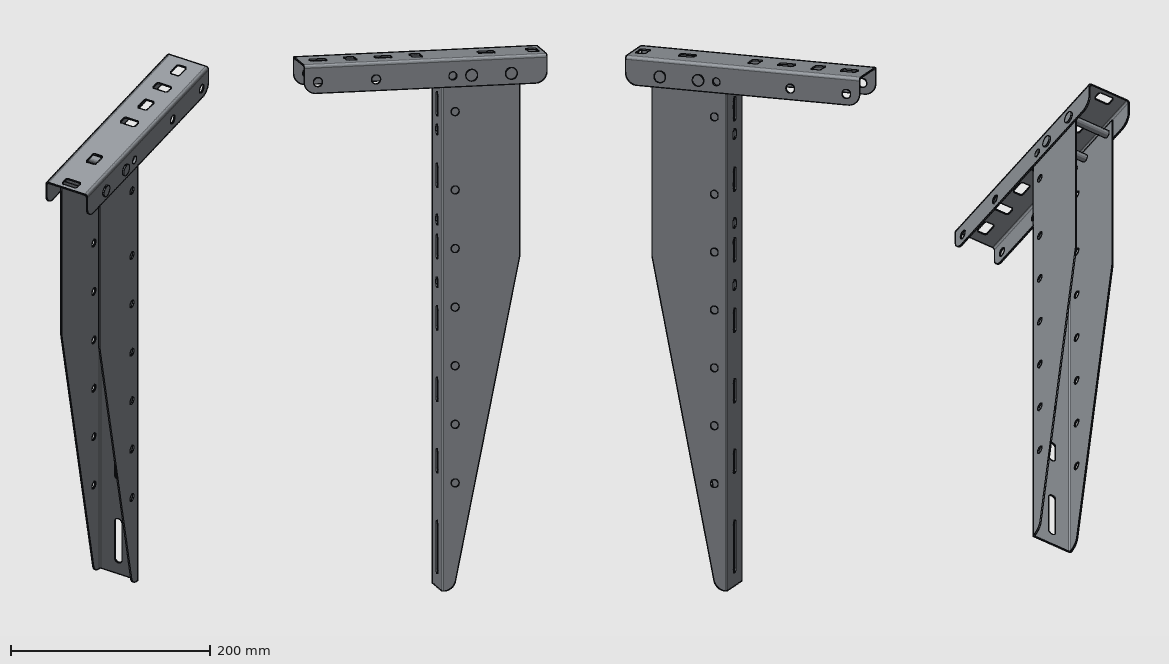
import cadquery as cq

total_height = 545.0
sheet = 1.45
cut_depth = 3 * sheet

bracket_length = 250.0
bracket_width = 48.0
bracket_height = 29.5
bracket_outer_bend = 3.0
bracket_inner_bend = 2.0
bracket_corner = 12.0

post_width = bracket_width - 2 * sheet
post_depth = 80.0
post_outer_bend = 1.5
post_inner_bend = 1.4
post_back = 108.0
post_front = post_back - post_depth
post_gap = 5.5
post_top = total_height - post_gap
taper_start = 339.0
foot_depth = 12.0
foot_corner = 12.0

post_hole = 8.0
bracket_hole = 9.0
bracket_hole_drop = 18.0
bracket_hole_setbacks = [14.0, 74.0]
shared_hole_setback = 153.0
post_hole_inset = 13.5
post_hole_pitch = 60.0
post_hole_count = 6
post_first_hole = 110.0
post_upper_hole = 490.0

rivet_positions = [37.0, 78.0]
rivet_diameter = 8.0
rivet_head = 12.0
rivet_head_height = 1.5

web_slot_length = 25.0
web_slot_width = 8.0
web_slot_top = 494.5
web_slot_pitch = 73.0
web_slot_count = 6
foot_slot_length = 54.5
foot_slot_height = 41.0
web_hole = 11.0
web_hole_heights = [468.0, 376.0, 312.0]

top_slot_length = 17.0
top_slot_width = 11.0
top_slot_corner = 2.55
long_slot_positions = [57.0, 163.5, 230.5]
cross_slot_positions = [10.0, 129.5, 197.5]

rivet_height = total_height - bracket_hole_drop


def channel(width, depth, length, outer_bend, inner_bend):
    """Channel along +Z with its web on the outer face Y = 0 and flanges towards -Y."""
    outer = (
        cq.Workplane("XY")
        .box(width, depth, length, centered=(True, False, False))
        .translate((0, -depth, 0))
        .edges("|Z and >Y")
        .fillet(outer_bend)
    )
    inner = (
        cq.Workplane("XY")
        .box(width - 2 * sheet, depth, length, centered=(True, False, False))
        .translate((0, -depth - sheet, 0))
        .edges("|Z and >Y")
        .fillet(inner_bend)
    )
    return outer.cut(inner)


def cross_cylinder(diameter, length, y, z):
    """Cylinder along X, centred on the symmetry plane."""
    return (
        cq.Workplane("YZ", origin=(-length / 2, y, z))
        .circle(diameter / 2)
        .extrude(length)
    )


def flange_holes(diameter, positions):
    """Through holes along X at the given (Y, Z) places."""
    return (
        cq.Workplane("YZ")
        .pushPoints(positions)
        .circle(diameter / 2)
        .extrude(bracket_width, both=True)
    )


def top_slot(y, size_x, size_y):
    """Cutter for a slot in the bracket top, with rounded corners."""
    return (
        cq.Workplane("XY", origin=(0, y, total_height + sheet))
        .rect(size_x, size_y)
        .extrude(-cut_depth)
        .edges("|Z")
        .fillet(top_slot_corner)
    )


def make_bracket():
    body = (
        channel(bracket_width, bracket_height, bracket_length, bracket_outer_bend, bracket_inner_bend)
        .rotate((0, 0, 0), (1, 0, 0), 90)
        .translate((0, bracket_length, total_height))
    )
    outline = (
        cq.Workplane("XY")
        .box(bracket_width, bracket_length, bracket_height, centered=(True, False, False))
        .translate((0, 0, total_height - bracket_height))
        .edges("|X and <Z")
        .fillet(bracket_corner)
    )
    body = body.intersect(outline)
    for y in long_slot_positions:
        body = body.cut(top_slot(y, top_slot_width, top_slot_length))
    for y in cross_slot_positions:
        body = body.cut(top_slot(y, top_slot_length, top_slot_width))
    return body


def make_post():
    body = channel(post_width, post_depth, post_top, post_outer_bend, post_inner_bend)
    body = body.translate((0, post_back, 0))
    outline = (
        cq.Workplane("YZ")
        .moveTo(post_back, 0)
        .lineTo(post_back, post_top)
        .lineTo(post_front, post_top)
        .lineTo(post_front, taper_start)
        .lineTo(post_back - foot_depth, 0)
        .close()
        .extrude(post_width, both=True)
        .edges(cq.selectors.NearestToPointSelector((0, post_back - foot_depth, 0)))
        .fillet(foot_corner)
    )
    slot_heights = [web_slot_top - i * web_slot_pitch for i in range(web_slot_count)]
    web_openings = (
        cq.Workplane("XZ", origin=(0, post_back + sheet, 0))
        .pushPoints([(0, z) for z in slot_heights])
        .slot2D(web_slot_length, web_slot_width, 90)
        .pushPoints([(0, foot_slot_height)])
        .slot2D(foot_slot_length, web_slot_width, 90)
        .pushPoints([(0, z) for z in web_hole_heights])
        .circle(web_hole / 2)
        .extrude(cut_depth)
    )
    hole_heights = [post_first_hole + i * post_hole_pitch for i in range(post_hole_count)]
    hole_heights.append(post_upper_hole)
    holes = flange_holes(post_hole, [(post_back - post_hole_inset, z) for z in hole_heights])
    return body.intersect(outline).cut(web_openings).cut(holes)


def make_rivet(y):
    shank = cross_cylinder(rivet_diameter, bracket_width, y, rivet_height)
    heads = cross_cylinder(rivet_head, bracket_width + 2 * rivet_head_height, y, rivet_height)
    gap = cross_cylinder(rivet_head, bracket_width, y, rivet_height)
    return heads.cut(gap).union(shank)


bracket_holes = flange_holes(
    bracket_hole, [(bracket_length - setback, rivet_height) for setback in bracket_hole_setbacks]
)
shared_hole = flange_holes(post_hole, [(bracket_length - shared_hole_setback, rivet_height)])

result = make_bracket().union(make_post()).cut(bracket_holes).cut(shared_hole)
for rivet_y in rivet_positions:
    result = result.union(make_rivet(rivet_y))